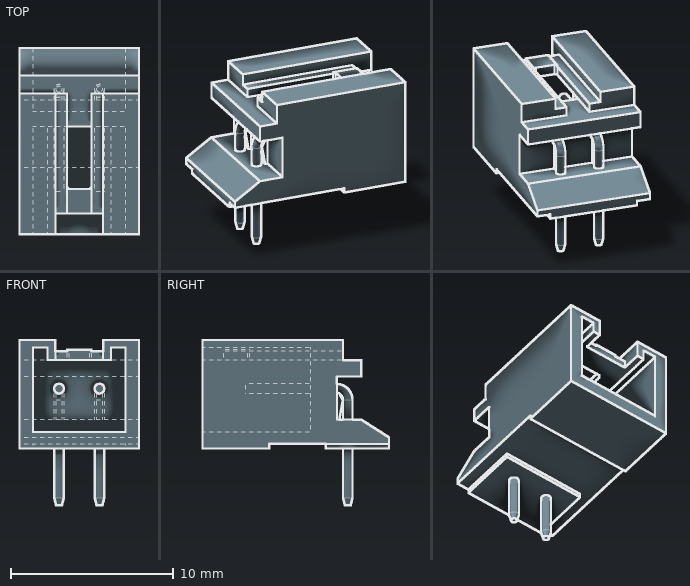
import cadquery as cq

width = 7.4
length = 11.5
height = 6.7
body_depth = 8.28
upper_depth = 8.67
ledge_depth = 9.8
ledge_bottom = 4.44
ledge_top = 5.46

shelf_top = 1.78
shelf_flat_end = 9.81
shelf_edge_height = 0.7
relief_height = 0.29
relief_start = 4.12
relief_end = 7.59
foot_inset = 0.85

side_wall = 0.85
floor_thickness = 1.01
roof_thickness = 0.48
cavity_depth = 6.66
cavity_width = width - 2 * side_wall

keyway_width = 2.93
lip_thickness = 0.48
lip_span = keyway_width + 2 * lip_thickness

rail_top = 6.01
rail_gap = 1.5
tongue_front = 1.29
bridge_rear = 2.78
bridge_top = 6.11
bridge_corner = 0.13

pin_diameter = 0.6
pin_pitch = 2.5
pin_axis_height = 3.7
pin_front = 2.65
pin_drop = 8.96
bend_radius = 0.71
pin_bottom = height - 10.2
tip_length = 0.45
tip_diameter = 0.37
pin_positions = (-pin_pitch / 2, pin_pitch / 2)

rib_width = 0.35
rib_foot = 8.44


def block(x_size, y_start, y_end, z_start, z_end):
    """Box centred on X = 0, given by its Y and Z limits."""
    return cq.Workplane("XY").box(
        x_size, y_end - y_start, z_end - z_start, centered=(True, False, False)
    ).translate((0, y_start, z_start))


def side_profile(points, x_size, x_center=0):
    """Closed Y-Z outline extruded along X about x_center."""
    outline = cq.Workplane("YZ").polyline(points).close()
    return outline.extrude(x_size / 2, both=True).translate((x_center, 0, 0))


def make_housing():
    outline = [
        (0, 0),
        (relief_start, 0),
        (relief_start, relief_height),
        (length, relief_height),
        (length, shelf_edge_height),
        (shelf_flat_end, shelf_top),
        (body_depth, shelf_top),
        (body_depth, ledge_bottom),
        (ledge_depth, ledge_bottom),
        (ledge_depth, ledge_top),
        (upper_depth, ledge_top),
        (upper_depth, height),
        (0, height),
    ]
    housing = side_profile(outline, width)
    foot = block(width - 2 * foot_inset, relief_end, length, 0, relief_height)
    return housing.union(foot)


def make_opening():
    cavity_top = height - roof_thickness
    cavity = block(cavity_width, 0, cavity_depth, floor_thickness, cavity_top)
    lips = block(lip_span, 0, cavity_depth, ledge_top, cavity_top)
    keyway_front = block(keyway_width, 0, cavity_depth, floor_thickness, height)
    keyway_rear = block(keyway_width, cavity_depth, upper_depth, ledge_top, height)
    return cavity.cut(lips).union(keyway_front).union(keyway_rear)


def make_tongue():
    rails = block(keyway_width, tongue_front, upper_depth, ledge_top, rail_top)
    rails = rails.cut(block(rail_gap, tongue_front, upper_depth, ledge_top, rail_top))
    half_gap = rail_gap / 2
    corner_start = half_gap - bridge_corner
    bridge_outline = [
        (-half_gap, tongue_front),
        (half_gap, tongue_front),
        (half_gap, bridge_rear + bridge_corner),
        (corner_start, bridge_rear),
        (-corner_start, bridge_rear),
        (-half_gap, bridge_rear + bridge_corner),
    ]
    bridge = (
        cq.Workplane("XY", origin=(0, 0, ledge_top))
        .polyline(bridge_outline)
        .close()
        .extrude(bridge_top - ledge_top)
    )
    return rails.union(bridge)


def make_pin(x):
    bend_start = pin_drop - bend_radius
    bend_end = pin_axis_height - bend_radius
    tip_start = pin_bottom + tip_length
    path = (
        cq.Workplane("YZ", origin=(x, 0, 0))
        .moveTo(pin_front, pin_axis_height)
        .lineTo(bend_start, pin_axis_height)
        .tangentArcPoint((pin_drop, bend_end), relative=False)
        .lineTo(pin_drop, tip_start)
    )
    profile = cq.Workplane("XZ", origin=(x, pin_front, pin_axis_height)).circle(pin_diameter / 2)
    tip = (
        cq.Workplane("XY", origin=(x, pin_drop, pin_bottom))
        .circle(tip_diameter / 2)
        .workplane(offset=tip_length)
        .circle(pin_diameter / 2)
        .loft()
    )
    return profile.sweep(path).union(tip)


def make_rib(x):
    bend_end = pin_axis_height - bend_radius
    outline = [
        (body_depth, shelf_top),
        (rib_foot, shelf_top),
        (pin_drop - pin_diameter / 2, bend_end),
        (body_depth, pin_axis_height),
    ]
    return side_profile(outline, rib_width, x)


result = make_housing().cut(make_opening()).union(make_tongue())
for pin_x in pin_positions:
    result = result.union(make_rib(pin_x)).union(make_pin(pin_x))